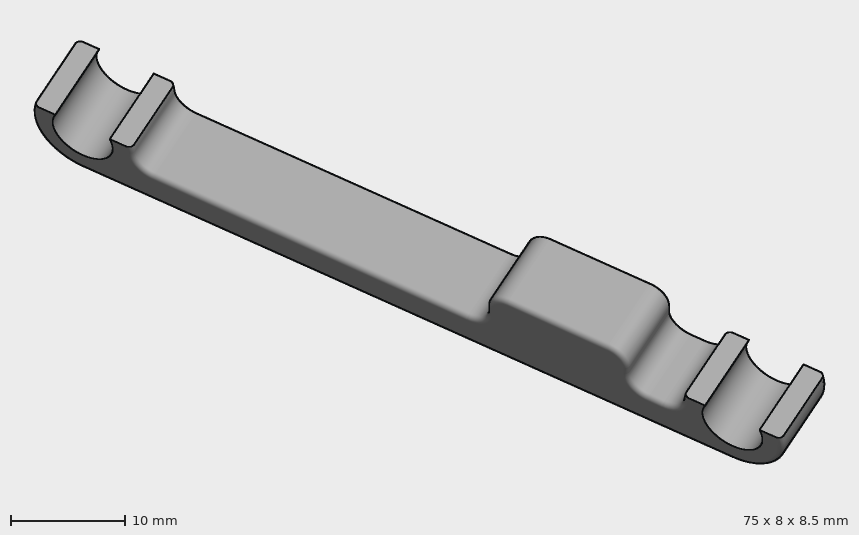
import cadquery as cq
import math

length = 75.0
width = 8.0
height = 8.5

clip_radius = 5.0
bore_radius = 3.0
tip_height = 6.3

deck_height = 3.5
block_left = 45.45
block_right = 59.45
bend_radius = 2.0
edge_radius = 0.5

clip_z = clip_radius
left_clip_x = clip_radius
right_clip_x = length - clip_radius

bend_z = deck_height + bend_radius
centre_distance = clip_radius + bend_radius
bend_angle = math.asin((bend_z - clip_z) / centre_distance)
bend_offset = centre_distance * math.cos(bend_angle)
touch_offset = clip_radius * math.cos(bend_angle)
touch_z = clip_z + clip_radius * math.sin(bend_angle)
left_bend_x = left_clip_x + bend_offset
right_bend_x = right_clip_x - bend_offset
shoulder_z = height - bend_radius

outline = (
    cq.Workplane("XZ", origin=(0, width / 2, 0))
    .moveTo(left_clip_x, 0)
    .lineTo(right_clip_x, 0)
    .radiusArc((right_clip_x, 2 * clip_radius), -clip_radius)
    .radiusArc((right_clip_x - touch_offset, touch_z), -clip_radius)
    .radiusArc((right_bend_x, deck_height), bend_radius)
    .lineTo(block_right + bend_radius, deck_height)
    .radiusArc((block_right, bend_z), bend_radius)
    .lineTo(block_right, shoulder_z)
    .radiusArc((block_right - bend_radius, height), -bend_radius)
    .lineTo(block_left + bend_radius, height)
    .radiusArc((block_left, shoulder_z), -bend_radius)
    .lineTo(block_left, bend_z)
    .radiusArc((block_left - bend_radius, deck_height), bend_radius)
    .lineTo(left_bend_x, deck_height)
    .radiusArc((left_clip_x + touch_offset, touch_z), bend_radius)
    .radiusArc((left_clip_x, 2 * clip_radius), -clip_radius)
    .radiusArc((left_clip_x, 0), -clip_radius)
    .close()
)

body = outline.extrude(width).faces("<Y or >Y").edges().fillet(edge_radius)

for clip_x in (left_clip_x, right_clip_x):
    above_tips = (
        cq.Workplane("XY", origin=(clip_x, 0, tip_height))
        .rect(2 * clip_radius, width)
        .extrude(clip_radius)
    )
    bore = (
        cq.Workplane("XZ", origin=(clip_x, width / 2, clip_z))
        .circle(bore_radius)
        .extrude(width)
    )
    body = body.cut(above_tips).cut(bore)

result = body